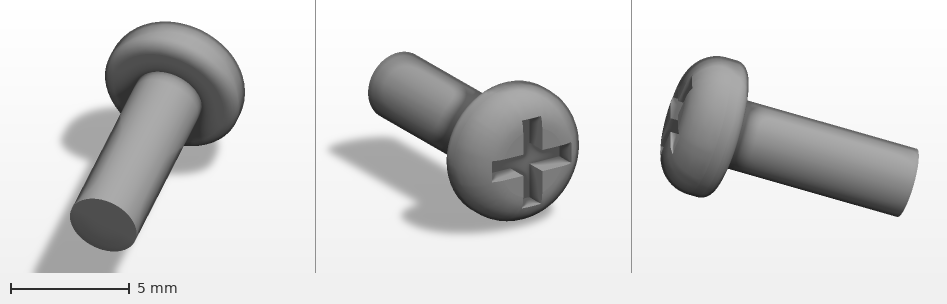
import cadquery as cq

total_length = 10.4
head_height = 2.4
head_diameter = 6.0
shank_diameter = 3.0
crown_radius = 1.48
seat_radius = 0.5

recess_width = 0.96
recess_length = 3.99
recess_depth = 1.0

shank_length = total_length - head_height


def along_y(diameter, start, length):
    """Solid cylinder on the Y axis, from start toward +Y."""
    plane = cq.Workplane("XZ", origin=(0, start, 0))
    return plane.circle(diameter / 2).extrude(-length)


def make_head():
    head = along_y(head_diameter, shank_length, head_height)
    head = head.faces(">Y").edges().fillet(crown_radius)
    return head.faces("<Y").edges().fillet(seat_radius)


def make_recess():
    """Two crossed slots sunk into the crown."""
    recess_floor = cq.Workplane("XZ", origin=(0, total_length - recess_depth, 0))
    across = recess_floor.rect(recess_length, recess_width).extrude(-recess_depth)
    upright = recess_floor.rect(recess_width, recess_length).extrude(-recess_depth)
    return across.union(upright)


shank = along_y(shank_diameter, 0, shank_length)
result = make_head().union(shank).cut(make_recess())
result = result.translate((0, -shank_length, 0))